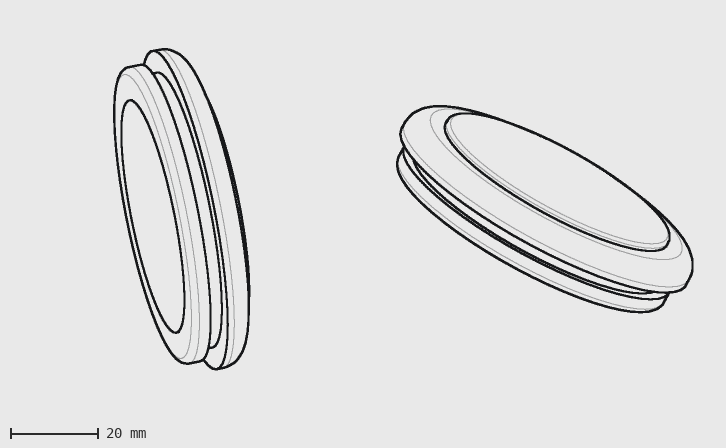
import cadquery as cq

flange_radius = 37.0
flange_thickness = 6.1
flange_round = 4.5
groove_radius = 32.0
groove_width = 3.3
lip_radius = 34.5
lip_thickness = 4.15
lip_round = 1.5
boss_radius = 28.8
boss_height = 1.5
boss_round = 0.75
pocket_radius = 27.0
pocket_depth = 12.5

lip_back = lip_thickness
flange_front = lip_back + groove_width
flange_back = flange_front + flange_thickness
total_depth = flange_back + boss_height


def disc(radius, start, length):
    """Disc on the Y axis, from start toward +Y."""
    plane = cq.Workplane("XZ", origin=(0, start, 0))
    return plane.circle(radius).extrude(-length)


lip = disc(lip_radius, 0, lip_thickness).faces("<Y").edges().fillet(lip_round)
groove_core = disc(groove_radius, 0, flange_back)
flange = disc(flange_radius, flange_front, flange_thickness)
flange = flange.faces(">Y").edges().fillet(flange_round)
boss = disc(boss_radius, flange_front, total_depth - flange_front)
boss = boss.faces(">Y").edges().fillet(boss_round)
pocket = disc(pocket_radius, 0, pocket_depth)

body = lip.union(groove_core).union(flange).union(boss).cut(pocket)

result = body.translate((0, -total_depth / 2, 0))